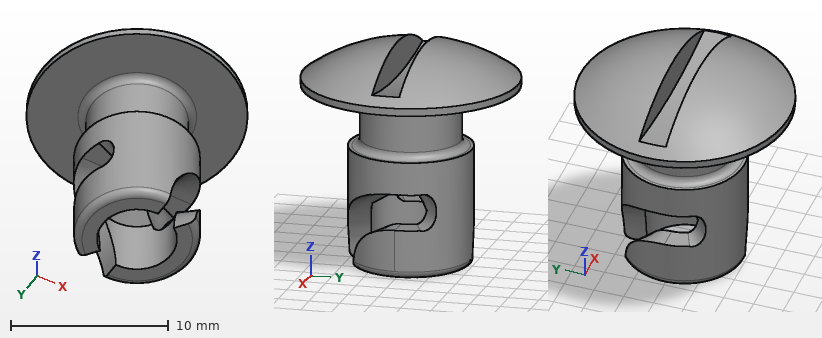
import cadquery as cq
import math

head_radius = 7.0
rim_bottom = 11.71
rim_top = 12.2
dome_top = 14.47
driver_slot_width = 1.79
driver_slot_end_height = 12.72
driver_slot_bottom = 12.16

neck_radius = 3.25
body_radius = 4.0
body_top = 7.7
neck_fillet = 0.5
bottom_fillet = 0.5

bore_radius = 2.53
bore_tip = 5.57
drill_point_angle = 118.0

slot_low = 3.2
slot_high = 5.56
slot_tip_angle = 38.9
slot_cap_angle = 23.5
mouth_near_angle = 52.0
mouth_far_angle = 88.0
ramp_sections = 12

cutter_inner = 0.29
cutter_outer = 4.91
overrun = 0.15


def sphere_radius():
    """Radius of the domed top, from its rise over the rim."""
    dome_rise = dome_top - rim_top
    return (head_radius**2 + dome_rise**2) / (2 * dome_rise)


def revolved_blank():
    """Domed head, neck and body turned as one profile about Z."""
    dome_radius = sphere_radius()
    mid_radius = head_radius / 2
    mid_height = dome_top - dome_radius + math.sqrt(dome_radius**2 - mid_radius**2)
    fillet_radius = neck_radius + neck_fillet
    profile = (
        cq.Workplane("XZ")
        .lineTo(body_radius - bottom_fillet, 0)
        .radiusArc((body_radius, bottom_fillet), -bottom_fillet)
        .lineTo(body_radius, body_top)
        .lineTo(fillet_radius, body_top)
        .radiusArc((neck_radius, body_top + neck_fillet), neck_fillet)
        .lineTo(neck_radius, rim_bottom - neck_fillet)
        .radiusArc((fillet_radius, rim_bottom), neck_fillet)
        .lineTo(head_radius, rim_bottom)
        .lineTo(head_radius, rim_top)
        .threePointArc((mid_radius, mid_height), (0, dome_top))
        .close()
    )
    return profile.revolve(360, (0, 0, 0), (0, 1, 0))


def driver_slot():
    """Screwdriver slot along X, its floor a shallow arc that dips in the middle."""
    end_drop = dome_top - driver_slot_end_height
    dome_radius = sphere_radius()
    end_x = math.sqrt(dome_radius**2 - (dome_radius - end_drop)**2)
    side = (
        cq.Workplane("XZ")
        .moveTo(-end_x, driver_slot_end_height)
        .threePointArc((0, driver_slot_bottom), (end_x, driver_slot_end_height))
        .lineTo(end_x, dome_top)
        .lineTo(-end_x, dome_top)
        .close()
    )
    return side.extrude(driver_slot_width / 2, both=True)


def slot_point(radius, angle, height):
    """Point on the slot, with its angle in degrees turned from -X towards +Y."""
    turn = math.radians(angle)
    return cq.Vector(-radius * math.cos(turn), radius * math.sin(turn), height)


def ramp_cutter():
    """Sloping stretch between two quarter-ellipses drawn on the unrolled body."""
    sections = []
    for step in range(ramp_sections + 1):
        phase = math.pi / 2 * step / ramp_sections
        near_angle = mouth_near_angle * math.sin(phase)
        far_angle = mouth_far_angle * math.sin(phase)
        near_height = (slot_low + overrun) * math.cos(phase) - overrun
        far_height = (slot_high + overrun) * math.cos(phase) - overrun
        corners = [
            slot_point(cutter_inner, near_angle, near_height),
            slot_point(cutter_outer, near_angle, near_height),
            slot_point(cutter_outer, far_angle, far_height),
            slot_point(cutter_inner, far_angle, far_height),
        ]
        sections.append(cq.Wire.makePolygon(corners, close=True))
    return cq.Solid.makeLoft(sections)


def lock_wire(distance):
    """Outline of the level, round-ended stretch at a distance from the axis along -X."""
    cap_y = -distance * math.tan(math.radians(slot_cap_angle))
    tip_y = -distance * math.tan(math.radians(slot_tip_angle))
    outline = (
        cq.Workplane("YZ", origin=(-distance, 0, 0))
        .moveTo(0, slot_low)
        .lineTo(cap_y, slot_low)
        .threePointArc((tip_y, (slot_low + slot_high) / 2), (cap_y, slot_high))
        .lineTo(0, slot_high)
        .close()
    )
    return outline.val()


def lock_cutter():
    """Level end of the slot, widening outwards so that its walls stay radial."""
    return cq.Solid.makeLoft([lock_wire(cutter_inner), lock_wire(cutter_outer)], True)


def drilled_bore():
    """Cylinder with a pointed end, turned about Z."""
    tip_length = bore_radius / math.tan(math.radians(drill_point_angle / 2))
    profile = (
        cq.Workplane("XZ")
        .lineTo(bore_radius, 0)
        .lineTo(bore_radius, bore_tip - tip_length)
        .lineTo(0, bore_tip)
        .close()
    )
    return profile.revolve(360, (0, 0, 0), (0, 1, 0))


result = revolved_blank().cut(driver_slot()).cut(drilled_bore())

for stretch in (ramp_cutter(), lock_cutter()):
    for turn_angle in (0, 180):
        result = result.cut(cq.Workplane(stretch).rotate((0, 0, 0), (0, 0, 1), turn_angle))